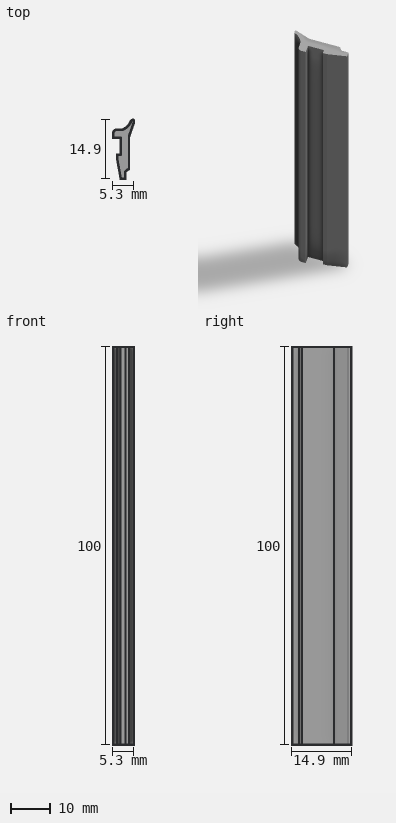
import cadquery as cq
import math

length = 100.0
width = 5.3
depth = 14.9

web_left = 1.9
web_right = 4.0
web_bottom = 2.5
web_top = 10.6

flange_bottom = 10.3
flange_top = 12.4
flange_corner_radius = 0.9

lip_root_x = 2.3
lip_curve_middle = (3.6, 13.2)
lip_curve_end = (4.5, 14.6)
tip_peak_x = 5.0
tip_side = (5.2, 14.1)
tip_bulge_y = 14.4

step_left = 1.0
step_top = 6.1
taper_start = 5.0
foot_left = 1.9
foot_right = 3.1

shoulder_bottom = 1.8
shoulder_middle = (3.5, 2.2)

flange_inset = flange_corner_radius * (1 - math.sqrt(0.5))

profile = (
    cq.Workplane("XY")
    .moveTo(foot_left, 0)
    .lineTo(foot_right, 0)
    .lineTo(foot_right, shoulder_bottom)
    .threePointArc(shoulder_middle, (web_right, web_bottom))
    .lineTo(web_right, web_top)
    .lineTo(*tip_side)
    .threePointArc((width, tip_bulge_y), (tip_peak_x, depth))
    .lineTo(*lip_curve_end)
    .threePointArc(lip_curve_middle, (lip_root_x, flange_top))
    .lineTo(flange_corner_radius, flange_top)
    .threePointArc(
        (flange_inset, flange_top - flange_inset),
        (0, flange_top - flange_corner_radius),
    )
    .lineTo(0, flange_bottom)
    .lineTo(web_left, flange_bottom)
    .lineTo(web_left, step_top)
    .lineTo(step_left, step_top)
    .lineTo(step_left, taper_start)
    .close()
)

result = profile.extrude(length)